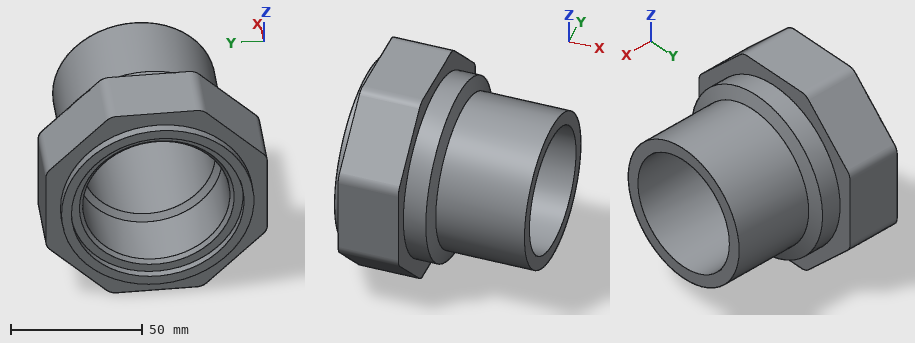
import cadquery as cq
import math

total_length = 75.0
nut_start = 3.6
nut_width = 24.4
collar_end = 39.0
collar_taper = 1.95

across_flats = 85.0
nut_corner_radius = 5.5

collar_radius = 36.9
pipe_radius = 31.2

recess_radius = 33.1
recess_depth = 3.1
socket_radius = 28.2
socket_chamfer = 1.45
socket_end = 27.6
bore_radius = 25.7
bore_taper = 1.9


def revolve_about_x(profile):
    """Turn a closed (x, radius) profile into a solid of revolution."""
    sketch = cq.Workplane("XY").polyline(profile).close()
    return sketch.revolve(360, (0, 0, 0), (1, 0, 0))


def make_body():
    """Collar tapering down to the plain pipe end."""
    return revolve_about_x([
        (0, 0),
        (0, collar_radius),
        (collar_end - collar_taper, collar_radius),
        (collar_end, pipe_radius),
        (total_length, pipe_radius),
        (total_length, 0),
    ])


def make_nut():
    """Octagonal prism with rounded corners and flats facing Y and Z."""
    sides = 8
    half_side_angle = 180 / sides
    across_corners = across_flats / math.cos(math.radians(half_side_angle))
    prism = (
        cq.Workplane("YZ")
        .workplane(offset=nut_start)
        .polygon(sides, across_corners)
        .extrude(nut_width)
        .edges("|X")
        .fillet(nut_corner_radius)
    )
    return prism.rotate((0, 0, 0), (1, 0, 0), half_side_angle)


def make_passage():
    """Front recess, chamfered socket and tapered step down to the bore."""
    return revolve_about_x([
        (0, 0),
        (0, recess_radius),
        (recess_depth, recess_radius),
        (recess_depth, socket_radius + socket_chamfer),
        (recess_depth + socket_chamfer, socket_radius),
        (socket_end, socket_radius),
        (socket_end + bore_taper, bore_radius),
        (total_length, bore_radius),
        (total_length, 0),
    ])


result = make_body().union(make_nut()).cut(make_passage())